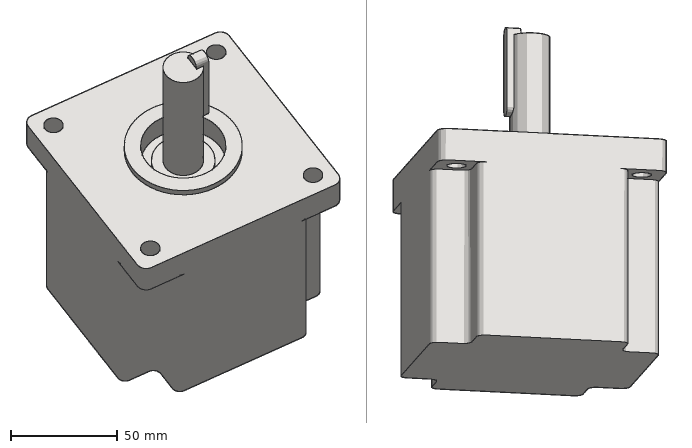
import cadquery as cq

width = 110.0
total_height = 162.8

flange_bottom = 83.8
flange_top = 99.1
boss_top = 102.2

flange_corner_radius = 4.9
notch_size = 18.7
notch_fillet = 4.0
boss_diameter = 55.5
recess_diameter = 40.0
recess_floor = 90.0
mount_hole_diameter = 9.1
mount_hole_pitch = 89.0

shaft_diameter = 19.0
shaft_top = 158.7
collar_diameter = 30.0
collar_height = 2.0
keyway_clearance = 0.3

key_width = 7.8
key_length = 42.8
key_inner_y = 4.9
key_outer_y = 11.7


def cylinder(diameter, bottom, top):
    """Upright cylinder on the Z axis."""
    return cq.Workplane("XY").workplane(offset=bottom).circle(diameter / 2).extrude(top - bottom)


def make_motor_column():
    """Square column with a rounded notch along each of its four corners."""
    column = cq.Workplane("XY").rect(width, width).extrude(flange_bottom)
    corner_pitch = width - notch_size
    notches = (
        cq.Workplane("XY")
        .rect(corner_pitch, corner_pitch, forConstruction=True)
        .vertices()
        .rect(notch_size, notch_size)
        .extrude(flange_bottom)
    )
    return column.cut(notches).edges("|Z").fillet(notch_fillet)


def make_flange():
    """Square mounting plate with rounded corners and four through holes."""
    plate = (
        cq.Workplane("XY")
        .workplane(offset=flange_bottom)
        .rect(width, width)
        .extrude(flange_top - flange_bottom)
        .edges("|Z")
        .fillet(flange_corner_radius)
    )
    return (
        plate.faces(">Z")
        .workplane()
        .rect(mount_hole_pitch, mount_hole_pitch, forConstruction=True)
        .vertices()
        .hole(mount_hole_diameter)
    )


def make_housing():
    """Motor column, flange and pilot boss, recessed around the shaft."""
    return (
        make_motor_column()
        .union(make_flange())
        .union(cylinder(boss_diameter, flange_top, boss_top))
        .cut(cylinder(recess_diameter, recess_floor, boss_top))
    )


def round_ended_bar(length, bar_width):
    """Upright round-ended bar filling the key's place from its inner to its outer face."""
    return (
        cq.Workplane("XZ", origin=(0, key_outer_y, total_height - key_length / 2))
        .slot2D(length, bar_width, angle=90)
        .extrude(key_outer_y - key_inner_y)
    )


def make_key():
    """Round-ended key that stands proud of the shaft's side and of its end."""
    return round_ended_bar(key_length, key_width)


def make_shaft():
    """Output shaft with a collar resting on the recess floor and a keyway open at its end."""
    keyway = round_ended_bar(key_length + 2 * keyway_clearance, key_width + 2 * keyway_clearance)
    return (
        cylinder(collar_diameter, recess_floor, recess_floor + collar_height)
        .union(cylinder(shaft_diameter, recess_floor, shaft_top))
        .cut(keyway)
    )


housing = make_housing()
shaft = make_shaft()
key = make_key()

result = cq.Compound.makeCompound([housing.val(), shaft.val(), key.val()])